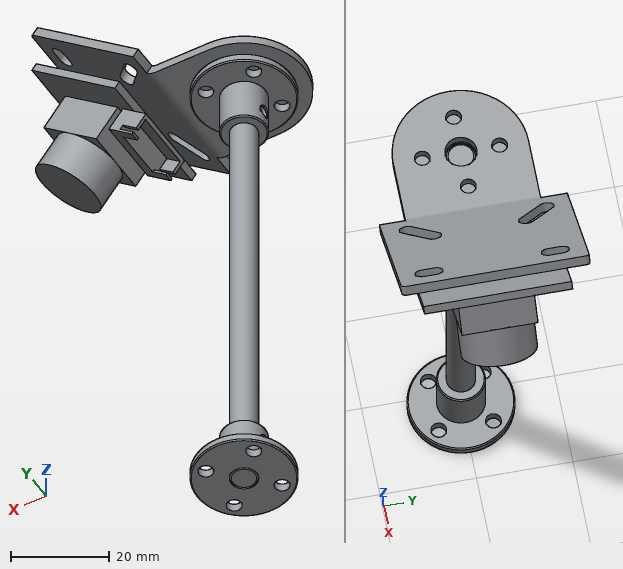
import cadquery as cq
import math

total_height = 133.4
sheet = 2.0

post_height = 112.0
rod_diameter = 6.0
collar_diameter = 10.0
collar_height = 10.0
flange_diameter = 22.0
bolt_hole_diameter = 3.2
bolt_circle_radius = 8.0
flange_hole_start_angle = 45.0
screw_hole_diameter = 2.5
screw_mouth_diameter = 3.0
screw_mouth_depth = 0.4
edge_chamfer = 0.3
rod_chamfer = 0.4
screw_inset = 3.7

foot_radius = 14.0
centre_hole_diameter = 6.5
bend_start = 12.4
bend_radius = 1.7
tilt = 38.0
plate_width = 39.0
plate_corner_radius = 1.0
slot_diameter = 3.2
upper_slot_length = 5.7
upper_slot_y = 13.1
upper_slot_inset = 4.8
lower_slot_length = 10.0
lower_slot_y = 12.0
lower_slot_inset = 23.9
lower_slot_angle = 45.0

camera_along = 16.5
camera_drop = 6.0
board_length = 25.0
board_width = 30.7
board_thickness = 1.7
lens_size = 15.7
lens_offset = 0.1
lens_base_height = 8.3
lens_barrel_height = 8.3
connector_length = 7.0
connector_width = 15.5
connector_height = 5.3
connector_overhang = 3.6
socket_depth = 4.0
socket_roof = 1.0
socket_floor = 0.5
socket_wall = 0.8
side_notch_height = 1.1
floor_notch_width = 11.5

tilt_sin = math.sin(math.radians(tilt))
tilt_cos = math.cos(math.radians(tilt))
foot_top = post_height + sheet
plate_start_x = bend_start + bend_radius * tilt_sin
plate_start_z = foot_top + bend_radius * (1 - tilt_cos)
plate_length = (total_height - plate_start_z) / tilt_sin


def tilted_plane(along=0.0, drop=0.0):
    """Plane parallel to the tilted plate, moved up the plate and below its upper surface."""
    origin = (
        plate_start_x + along * tilt_cos + drop * tilt_sin,
        0,
        plate_start_z + along * tilt_sin - drop * tilt_cos,
    )
    return cq.Plane(origin=origin, xDir=(tilt_cos, 0, tilt_sin), normal=(-tilt_sin, 0, tilt_cos))


def make_flanged_collar():
    """Flange on the ground plane with a collar above it and a screw hole facing -X."""
    flange = (
        cq.Workplane("XY")
        .circle(flange_diameter / 2)
        .extrude(sheet)
        .edges()
        .chamfer(edge_chamfer)
        .faces(">Z")
        .workplane()
        .polarArray(bolt_circle_radius, flange_hole_start_angle, 360, 4)
        .hole(bolt_hole_diameter)
    )
    collar = (
        cq.Workplane("XY")
        .circle(collar_diameter / 2)
        .extrude(sheet + collar_height)
        .faces(">Z")
        .edges()
        .chamfer(edge_chamfer)
    )
    screw_height = sheet + collar_height - screw_inset
    screw_axis = cq.Workplane("YZ", origin=(-collar_diameter / 2, 0, screw_height))
    screw_hole = screw_axis.circle(screw_hole_diameter / 2).extrude(collar_diameter / 2)
    screw_mouth = screw_axis.circle(screw_mouth_diameter / 2).extrude(screw_mouth_depth)
    return flange.union(collar).cut(screw_hole).cut(screw_mouth)


def make_post():
    """Rod with a flanged collar at the bottom and a mirrored one at the top."""
    lower_collar = make_flanged_collar()
    upper_collar = lower_collar.mirror("XY").translate((0, 0, post_height))
    bore = cq.Workplane("XY").circle(rod_diameter / 2).extrude(post_height)
    rod = bore.edges().chamfer(rod_chamfer)
    return lower_collar.union(upper_collar).cut(bore).union(rod)


def make_foot():
    """Flat round-ended part of the bracket with its holes."""
    return (
        cq.Workplane("XY", origin=(0, 0, post_height))
        .moveTo(bend_start, -foot_radius)
        .lineTo(0, -foot_radius)
        .threePointArc((-foot_radius, 0), (0, foot_radius))
        .lineTo(bend_start, foot_radius)
        .close()
        .extrude(sheet)
        .faces(">Z")
        .workplane(origin=(0, 0, foot_top))
        .hole(centre_hole_diameter, sheet)
        .polarArray(bolt_circle_radius, 0, 360, 4)
        .hole(bolt_hole_diameter, sheet)
    )


def make_bend():
    """Curved strip that joins the foot to the tilted plate."""
    axis_height = sheet / 2 + bend_radius
    return (
        cq.Workplane("YZ", origin=(bend_start, 0, post_height + sheet / 2))
        .rect(2 * foot_radius, sheet)
        .revolve(tilt, (1.3, axis_height, 0), (0, axis_height, 0))
    )


def make_slot(inset, y, length, angle):
    """Cutter for a slot through the plate, its angle measured from the slope of the plate."""
    return (
        cq.Workplane(tilted_plane(plate_length - inset))
        .center(0, y)
        .slot2D(length, slot_diameter, angle)
        .extrude(-sheet)
    )


def make_plate():
    """Tilted plate with two straight slots above and two diagonal slots below."""
    plate = (
        cq.Workplane(tilted_plane(plate_length / 2))
        .rect(plate_length, plate_width)
        .extrude(-sheet)
        .faces(">X")
        .edges("#Y")
        .fillet(plate_corner_radius)
    )
    for side in (-1, 1):
        upper_slot = make_slot(upper_slot_inset, side * upper_slot_y, upper_slot_length, 90)
        lower_slot = make_slot(
            lower_slot_inset, side * lower_slot_y, lower_slot_length, -side * lower_slot_angle
        )
        plate = plate.cut(upper_slot).cut(lower_slot)
    return plate


def make_connector():
    """Socket under the lower board edge, open down the slope and notched at its sides and floor."""
    left_end = -board_length / 2 - connector_overhang
    frame = tilted_plane(camera_along, camera_drop + board_thickness)

    def block(length, width, height, depth):
        return (
            cq.Workplane(frame)
            .box(length, width, height, centered=(False, True, False))
            .translate(frame.xDir * left_end - frame.zDir * (depth + height))
        )

    shell = block(connector_length, connector_width, connector_height, 0)
    floor_top = connector_height - socket_floor
    socket = block(
        socket_depth, connector_width - 2 * socket_wall, floor_top - socket_roof, socket_roof
    )
    side_notch = block(
        socket_depth, connector_width, side_notch_height, floor_top - side_notch_height
    )
    floor_notch = block(socket_depth, floor_notch_width, socket_floor, floor_top)
    return shell.cut(socket).cut(side_notch).cut(floor_notch)


def make_camera():
    """Board with a square lens base, a round lens barrel and a connector below it."""
    board = (
        cq.Workplane(tilted_plane(camera_along, camera_drop))
        .rect(board_length, board_width)
        .extrude(-board_thickness)
    )
    lens_along = camera_along + lens_offset
    base_drop = camera_drop + board_thickness
    lens_base = (
        cq.Workplane(tilted_plane(lens_along, base_drop))
        .rect(lens_size, lens_size)
        .extrude(-lens_base_height)
    )
    lens_barrel = (
        cq.Workplane(tilted_plane(lens_along, base_drop + lens_base_height))
        .circle(lens_size / 2)
        .extrude(-lens_barrel_height)
    )
    return board.union(lens_base).union(lens_barrel).union(make_connector())


stand = make_post().union(make_foot()).union(make_bend()).union(make_plate())
camera = make_camera()

result = cq.Compound.makeCompound([stand.val(), camera.val()])